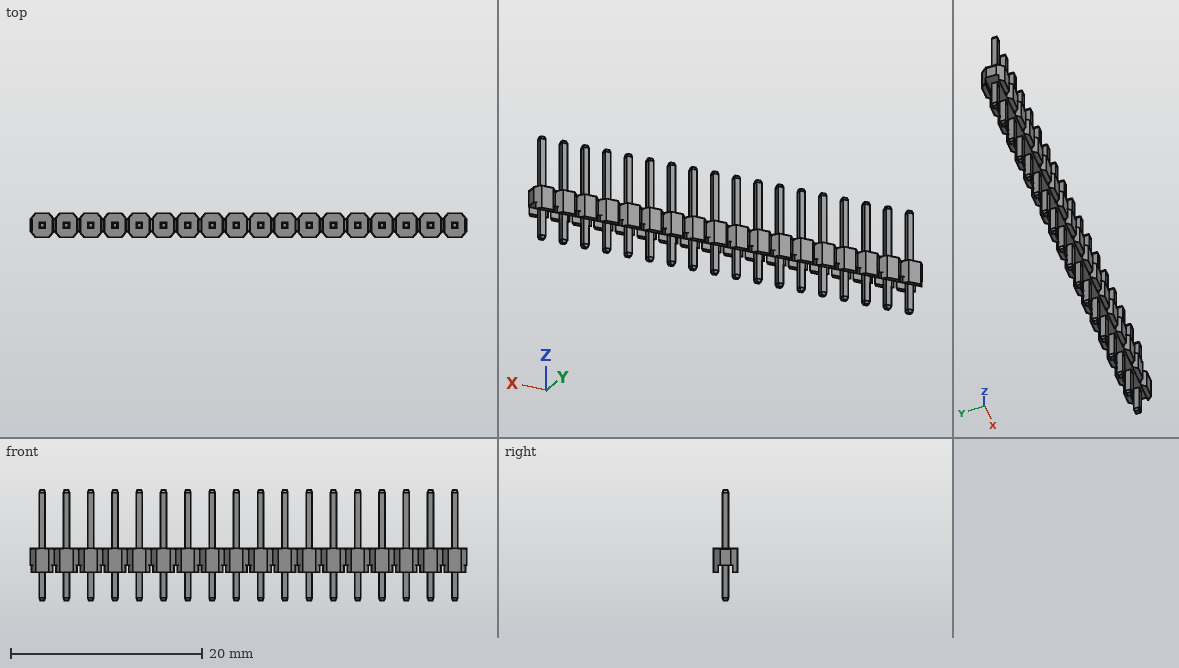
import cadquery as cq
import math

row_length = 45.7
pin_count = 18
pitch = row_length / pin_count

body_depth = 2.55
body_height = 2.5
end_flat_width = 1.15
side_flat_width = 1.35

channel_width = 1.5
channel_depth = 0.75

groove_width = 0.4
groove_floor_width = 0.25
groove_depth = 0.1

pin_width = 0.65
pin_length = 11.6
pin_below_body = 2.95
tip_width = 0.4
tip_height = 0.3


def positions_along_row(count):
    """X positions one pitch apart, centred on the origin."""
    first = -(count - 1) * pitch / 2
    return [first + i * pitch for i in range(count)]


def make_block():
    """One octagonal block standing on Z = 0."""
    half_pitch = pitch / 2
    half_depth = body_depth / 2
    half_end = end_flat_width / 2
    half_side = side_flat_width / 2
    outline = [
        (half_pitch, -half_end),
        (half_pitch, half_end),
        (half_side, half_depth),
        (-half_side, half_depth),
        (-half_pitch, half_end),
        (-half_pitch, -half_end),
        (-half_side, -half_depth),
        (half_side, -half_depth),
    ]
    return cq.Workplane("XY").polyline(outline).close().extrude(body_height)


def make_groove():
    """Cutter for one break groove, as long as the end flat is wide."""
    half_top = groove_width / 2
    half_floor = groove_floor_width / 2
    floor_z = body_height - groove_depth
    profile = [
        (-half_top, body_height),
        (-half_floor, floor_z),
        (half_floor, floor_z),
        (half_top, body_height),
    ]
    return cq.Workplane("XZ").polyline(profile).close().extrude(end_flat_width / 2, both=True)


def make_body():
    """Row of blocks with the underside channel and the break grooves removed."""
    block = make_block()
    body = cq.Workplane("XY")
    for x in positions_along_row(pin_count):
        body = body.union(block.translate((x, 0, 0)))

    channel = cq.Workplane("XY").box(
        row_length, channel_width, channel_depth, centered=(True, True, False)
    )
    body = body.cut(channel)

    groove = make_groove()
    for x in positions_along_row(pin_count + 1):
        body = body.cut(groove.translate((x, 0, 0)))
    return body


def make_pin():
    """One square pin on the Z axis, tapered at both ends."""
    bottom = -pin_below_body
    top = bottom + pin_length
    taper_angle = math.degrees(math.atan((pin_width - tip_width) / 2 / tip_height))
    shank_bottom = cq.Workplane("XY").workplane(offset=bottom + tip_height)
    shank_top = cq.Workplane("XY").workplane(offset=top - tip_height)
    shank = shank_bottom.rect(pin_width, pin_width).extrude(pin_length - 2 * tip_height)
    lower_tip = shank_bottom.rect(pin_width, pin_width).extrude(-tip_height, taper=taper_angle)
    upper_tip = shank_top.rect(pin_width, pin_width).extrude(tip_height, taper=taper_angle)
    return shank.union(lower_tip).union(upper_tip)


result = make_body()
pin = make_pin()
for x in positions_along_row(pin_count):
    result = result.union(pin.translate((x, 0, 0)))